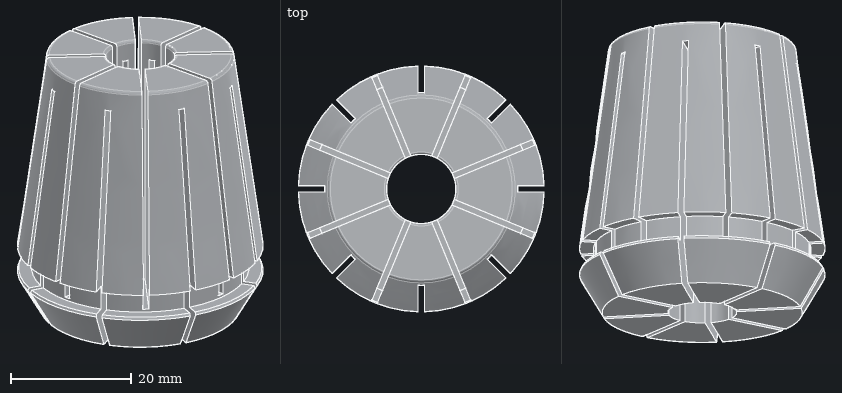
import cadquery as cq
import math

total_height = 46.0
max_diameter = 41.0
max_radius = max_diameter / 2
bore_diameter = 11.5
bore_radius = bore_diameter / 2

cone_angle = 8.0
cone_base_z = 11.2

groove_radius = 18.12
groove_floor_z = 7.1
rim_z = 6.62
rim_bevel = 0.25
nose_angle = 30.0

cone_fillet = 0.5
bore_fillet = 0.4

slot_width = 1.0
slots_per_end = 8
lower_slot_top_z = 42.5
upper_slot_floor_z = 7.6

slot_pitch = 360.0 / slots_per_end
nose_radius = max_radius - rim_z * math.tan(math.radians(nose_angle))
cone_top_radius = max_radius - (total_height - cone_base_z) * math.tan(math.radians(cone_angle))


def collet_body():
    """Turned body: half section revolved about Z."""
    section = (
        cq.Workplane("XZ")
        .moveTo(bore_radius, 0)
        .lineTo(nose_radius, 0)
        .lineTo(max_radius, rim_z)
        .lineTo(max_radius - rim_bevel, groove_floor_z)
        .lineTo(groove_radius, groove_floor_z)
        .lineTo(groove_radius, cone_base_z)
        .lineTo(max_radius, cone_base_z)
        .lineTo(cone_top_radius, total_height)
        .lineTo(bore_radius, total_height)
        .close()
    )
    body = section.revolve(360, (0, 0, 0), (0, 1, 0))
    outer_edge = cq.selectors.RadiusNthSelector(1)
    inner_edge = cq.selectors.RadiusNthSelector(0)
    body = body.faces(">Z").edges(outer_edge).fillet(cone_fillet)
    return body.faces(">Z").edges(inner_edge).fillet(bore_fillet)


def radial_slots(bottom_z, top_z, first_angle):
    """Evenly spaced flat blades from the axis past the outer surface."""
    blade = cq.Workplane("XY").box(
        max_diameter, slot_width, top_z - bottom_z, centered=(False, True, False)
    )
    slots = cq.Workplane("XY")
    for index in range(slots_per_end):
        angle = first_angle + index * slot_pitch
        placed = blade.rotate((0, 0, 0), (0, 0, 1), angle).translate((0, 0, bottom_z))
        slots = slots.add(placed)
    return slots.combine()


lower_slots = radial_slots(0, lower_slot_top_z, 0)
upper_slots = radial_slots(upper_slot_floor_z, total_height, slot_pitch / 2)

result = collet_body().cut(lower_slots).cut(upper_slots)